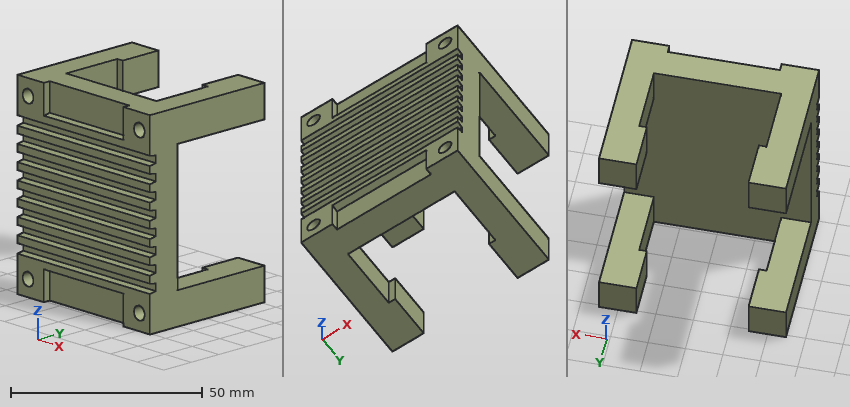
import cadquery as cq
import math

width = 50.0
depth = 41.6
height = 60.0

wall = 10.0
arm_width = 8.0
lip_width = 10.0
lip_length = 13.0

relief_depth = 2.1
flank_angle = 10.0
flank_run = relief_depth * math.tan(math.radians(flank_angle))
groove_count = 8
groove_pitch = 5.0
groove_mouth = 2.8
pocket_height = 9.0
pocket_width = width - 2 * lip_width

hole_diameter = 4.0
hole_inset_x = 4.0
hole_inset_z = 5.0
hole_depth = wall

cut_margin = 0.6


def make_frame():
    """U-shaped plan extruded upward, opened between the upper and lower arms."""
    outer_x = width / 2
    inner_x = outer_x - arm_width
    lip_x = outer_x - lip_width
    lip_y = depth - lip_length
    right_half = [
        (outer_x, 0),
        (outer_x, depth),
        (lip_x, depth),
        (lip_x, lip_y),
        (inner_x, lip_y),
        (inner_x, wall),
    ]
    left_half = [(-x, y) for x, y in reversed(right_half)]
    body = cq.Workplane("XY").polyline(right_half + left_half).close().extrude(height)
    opening = cq.Workplane("XY").box(
        width + 2 * cut_margin, depth, height - 2 * wall, centered=(True, False, False)
    ).translate((0, wall, wall))
    return body.cut(opening)


def extrude_across(profile, length):
    """Prism along X, centred on the part, from a (Y, Z) profile."""
    return cq.Workplane("YZ").polyline(profile).close().extrude(length / 2, both=True)


def make_groove(center_z):
    """Groove that narrows from the front face toward its floor."""
    half_mouth = groove_mouth / 2
    half_floor = half_mouth - flank_run
    profile = [
        (0, center_z - half_mouth),
        (0, center_z + half_mouth),
        (relief_depth, center_z + half_floor),
        (relief_depth, center_z - half_floor),
    ]
    return extrude_across(profile, width)


def make_lower_pocket():
    """Shallow pocket open at the bottom end, with a sloped inner end."""
    profile = [
        (0, 0),
        (0, pocket_height),
        (relief_depth, pocket_height - flank_run),
        (relief_depth, 0),
    ]
    return extrude_across(profile, pocket_width)


result = make_frame()

for index in range(groove_count):
    groove_z = height / 2 + (index - (groove_count - 1) / 2) * groove_pitch
    result = result.cut(make_groove(groove_z))

lower_pocket = make_lower_pocket()
upper_pocket = lower_pocket.mirror("XY", (0, 0, height / 2))
result = result.cut(lower_pocket).cut(upper_pocket)

for hole_x in (hole_inset_x - width / 2, width / 2 - hole_inset_x):
    for hole_z in (hole_inset_z, height - hole_inset_z):
        hole = cq.Solid.makeCylinder(
            hole_diameter / 2, hole_depth, cq.Vector(hole_x, 0, hole_z), cq.Vector(0, 1, 0)
        )
        result = result.cut(cq.Workplane(hole))